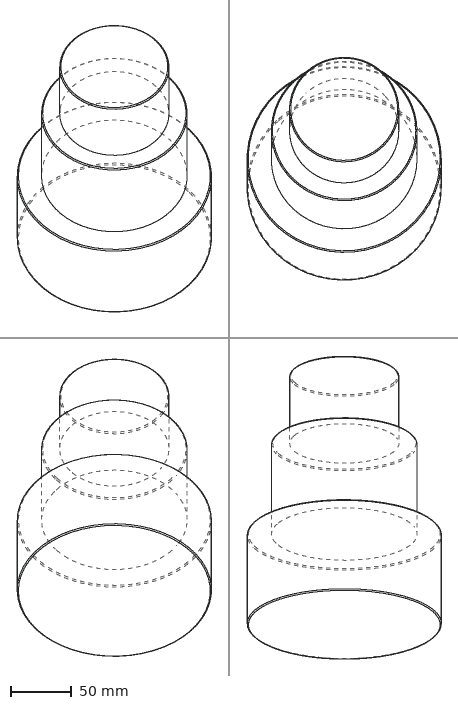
import cadquery as cq

BASE_DIAMETER, BASE_HEIGHT = 160.0, 80.0
MIDDLE_DIAMETER, MIDDLE_HEIGHT = 120.0, 80.0
TOP_DIAMETER, TOP_HEIGHT = 90.0, 60.0
EDGE_CHAMFER = 1.0


def step(diameter, height, bottom_z, chamfered_rims):
    """Cylinder standing at bottom_z with the selected rims chamfered."""
    cylinder = cq.Workplane("XY").workplane(offset=bottom_z).circle(diameter / 2).extrude(height)
    return cylinder.faces(chamfered_rims).edges().chamfer(EDGE_CHAMFER)


base = step(BASE_DIAMETER, BASE_HEIGHT, 0.0, "|Z")
middle = step(MIDDLE_DIAMETER, MIDDLE_HEIGHT, BASE_HEIGHT, ">Z")
top = step(TOP_DIAMETER, TOP_HEIGHT, BASE_HEIGHT + MIDDLE_HEIGHT, ">Z")

result = base.union(middle).union(top)